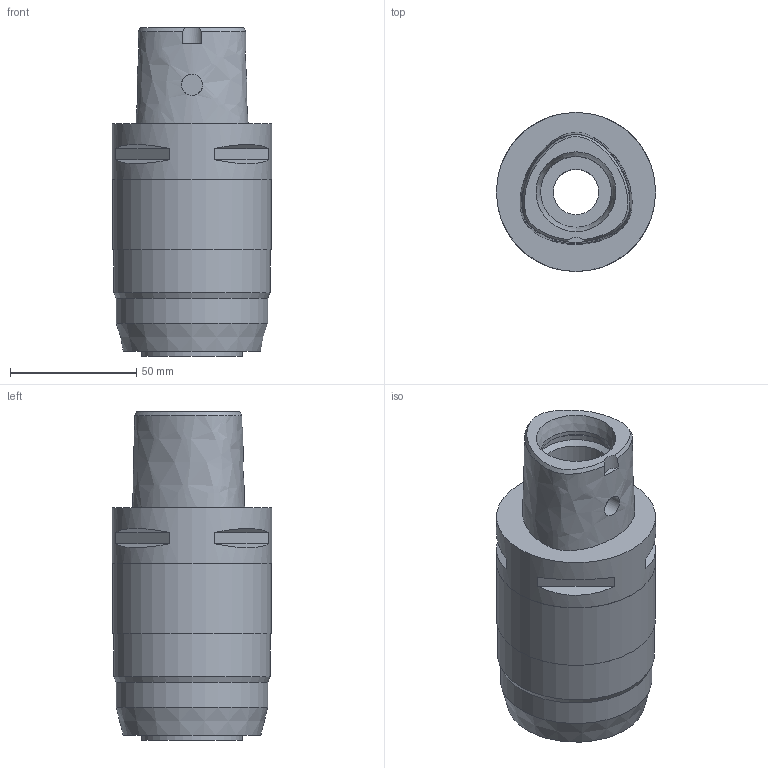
import math
import cadquery as cq


flange_diameter = 63.0
flange_bottom = -22.0
sleeve_diameter = 62.8
sleeve_bottom = -49.8
nut_diameter = 62.0
nut_bottom = -66.8
nut_taper_bottom = -69.1
nose_diameter = 60.0
nose_bottom = -79.0
nose_tip_diameter = 54.4
nose_tip_bottom = -90.0
lip_diameter = 40.0
body_bottom = -92.0

shank_height = 38.0
shank_base_diameter = 44.4
shank_taper = 1 / 20
lobe_eccentricity = 1.4
shank_chamfer_height = 1.6
shank_chamfer_width = 0.85
outline_points = 48

bore_mouth_diameter = 31.6
bore_diameter = 28.0
mouth_depth = 6.4
groove_diameter = 32.0
groove_top_depth = 8.0
groove_wall_top_depth = 9.7
groove_wall_bottom_depth = 11.9
groove_bottom_depth = 13.6
bore_depth = 34.0
through_diameter = 18.0

notch_radius = 4.8
notch_depth = 6.4
notch_floor_y = -17.9

side_hole_diameter = 8.4
side_hole_height = 15.4
side_hole_floor_y = -14.5

grip_count = 4
grip_height = -12.0
grip_floor_distance = 27.65
grip_floor_width = 4.4
grip_mouth_width = 7.6


def turned(profile):
    """Revolve a closed (distance from axis, z) profile around Z, with its seam towards -Y."""
    outline = [(-radius, z) for radius, z in profile]
    return cq.Workplane("YZ").polyline(outline).close().revolve(360, (0, 0), (0, 1))


def body():
    return turned([
        (0, 0),
        (flange_diameter / 2, 0),
        (flange_diameter / 2, flange_bottom),
        (sleeve_diameter / 2, flange_bottom),
        (sleeve_diameter / 2, sleeve_bottom),
        (nut_diameter / 2, sleeve_bottom),
        (nut_diameter / 2, nut_bottom),
        (nose_diameter / 2, nut_taper_bottom),
        (nose_diameter / 2, nose_bottom),
        (nose_tip_diameter / 2, nose_tip_bottom),
        (lip_diameter / 2, nose_tip_bottom),
        (lip_diameter / 2, body_bottom),
        (0, body_bottom),
    ])


def polygon_point(diameter, angle):
    """Point of the constant-width curve whose tangent there is normal to the given angle."""
    lobe_angle = 3 * (angle - math.pi / 2)
    support = diameter / 2 + lobe_eccentricity * math.cos(lobe_angle)
    slope = -3 * lobe_eccentricity * math.sin(lobe_angle)
    x = support * math.cos(angle) - slope * math.sin(angle)
    y = support * math.sin(angle) + slope * math.cos(angle)
    return cq.Vector(x, y, 0)


def polygon_wire(diameter, z):
    angles = [2 * math.pi * i / outline_points - math.pi / 2 for i in range(outline_points)]
    points = [polygon_point(diameter, angle) + cq.Vector(0, 0, z) for angle in angles]
    return cq.Wire.assembleEdges([cq.Edge.makeSpline(points, periodic=True)])


def shank():
    chamfer_z = shank_height - shank_chamfer_height
    chamfer_diameter = shank_base_diameter - shank_taper * chamfer_z
    top_diameter = chamfer_diameter - 2 * shank_chamfer_width
    base = polygon_wire(shank_base_diameter, 0)
    shoulder = polygon_wire(chamfer_diameter, chamfer_z)
    top = polygon_wire(top_diameter, shank_height)
    taper = cq.Workplane(cq.Solid.makeLoft([base, shoulder], True))
    chamfer = cq.Workplane(cq.Solid.makeLoft([shoulder, top], True))
    return taper.union(chamfer)


def bore():
    top = shank_height
    return turned([
        (0, top),
        (bore_mouth_diameter / 2, top),
        (bore_diameter / 2, top - mouth_depth),
        (bore_diameter / 2, top - groove_top_depth),
        (groove_diameter / 2, top - groove_wall_top_depth),
        (groove_diameter / 2, top - groove_wall_bottom_depth),
        (bore_diameter / 2, top - groove_bottom_depth),
        (bore_diameter / 2, top - bore_depth),
        (through_diameter / 2, top - bore_depth),
        (through_diameter / 2, body_bottom),
        (0, body_bottom),
    ])


def notch():
    return (
        cq.Workplane("XY", origin=(0, notch_floor_y - notch_radius, shank_height - notch_depth))
        .circle(notch_radius)
        .extrude(notch_depth)
    )


def side_hole():
    return (
        cq.Workplane("XZ", origin=(0, side_hole_floor_y, side_hole_height))
        .circle(side_hole_diameter / 2)
        .extrude(flange_diameter / 2 + side_hole_floor_y)
    )


def grip_groove(angle):
    """Straight groove with sloping flanks, cut across the flange facing the given angle."""
    outer = flange_diameter / 2
    floor_half = grip_floor_width / 2
    mouth_half = grip_mouth_width / 2
    return (
        cq.Workplane("XZ", origin=(0, outer, grip_height))
        .polyline([
            (grip_floor_distance, -floor_half),
            (outer, -mouth_half),
            (outer, mouth_half),
            (grip_floor_distance, floor_half),
        ])
        .close()
        .extrude(flange_diameter)
        .rotate((0, 0, 0), (0, 0, 1), angle)
    )


result = body().union(shank()).cut(bore()).cut(notch()).cut(side_hole())
for index in range(grip_count):
    result = result.cut(grip_groove(45 + index * 360 / grip_count))